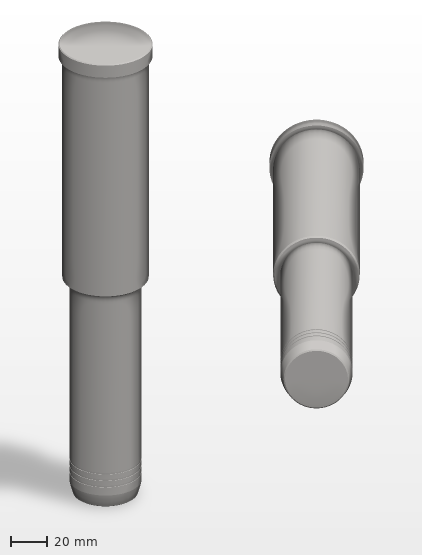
import cadquery as cq

total_length = 280.0
flange_thickness = 8.0
shoulder_height = 133.5
taper_height = 8.0

flange_radius = 52.0 / 2
body_radius = 48.0 / 2
shank_radius = 40.0 / 2
tip_radius = 18.0
taper_bulge = 0.6

flange_chamfer = 0.5
shoulder_chamfer = 0.8
tip_chamfer = 0.5

groove_width = 1.0
groove_depth = 0.3
groove_pitch = 4 * groove_width
lowest_groove_height = 13.2
groove_count = 3


def cylinder(radius, bottom, top):
    return cq.Workplane("XY").workplane(offset=bottom).circle(radius).extrude(top - bottom)


def tapered_tip():
    """Lead-in whose side bulges slightly outwards as it narrows."""
    blend_height = taper_height / 2
    blend_radius = tip_radius + (shank_radius - tip_radius) * taper_bulge
    return (
        cq.Workplane("XZ")
        .lineTo(tip_radius, 0)
        .threePointArc((blend_radius, blend_height), (shank_radius, taper_height))
        .lineTo(0, taper_height)
        .close()
        .revolve(360, (0, 0), (0, 1))
        .faces("<Z")
        .edges()
        .chamfer(tip_chamfer)
    )


def ring_groove(radius, bottom):
    top = bottom + groove_width
    floor = cylinder(radius - groove_depth, bottom, top)
    return cylinder(radius, bottom, top).cut(floor)


flange_bottom = total_length - flange_thickness
flange = cylinder(flange_radius, flange_bottom, total_length)
flange = flange.faces(">Z").edges().chamfer(flange_chamfer)

body = cylinder(body_radius, shoulder_height, flange_bottom)
body = body.faces("<Z").edges().chamfer(shoulder_chamfer)
body = body.cut(ring_groove(body_radius, flange_bottom - groove_width))

shank = cylinder(shank_radius, taper_height, shoulder_height)
for index in range(groove_count):
    shank = shank.cut(ring_groove(shank_radius, lowest_groove_height + index * groove_pitch))

result = tapered_tip().union(shank).union(body).union(flange)